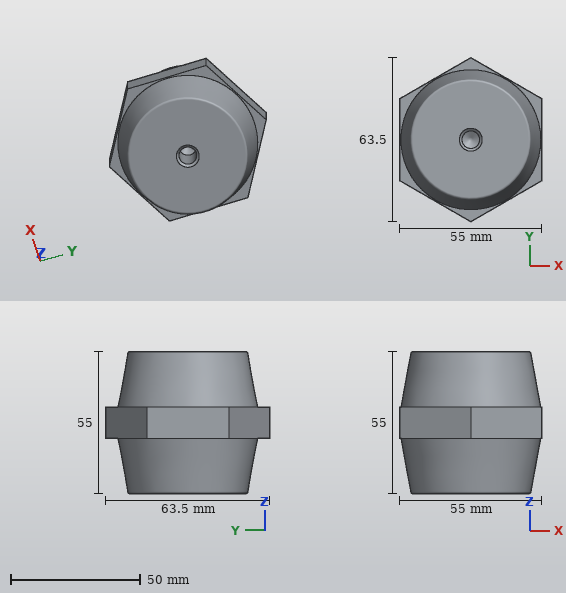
import cadquery as cq
import math

hex_corner_diameter = 63.5
hex_thickness = 12.1

total_height = 55.0
base_diameter = 54.1
end_diameter = 46.25
end_rounding = 0.9

hole_diameter = 6.8
countersink_diameter = 8.8
hole_depth = 15.9
drill_point_angle = 118.0

half_height = total_height / 2
base_radius = base_diameter / 2
end_radius = end_diameter / 2


def hex_flange():
    return (
        cq.Workplane("XY")
        .polygon(6, hex_corner_diameter)
        .extrude(hex_thickness / 2, both=True)
        .rotate((0, 0, 0), (0, 0, 1), 90)
    )


def double_taper():
    """Round body, widest at the flange faces and narrowing to both ends."""
    half_flange = hex_thickness / 2
    return (
        cq.Workplane("XZ")
        .moveTo(0, -half_height)
        .lineTo(end_radius, -half_height)
        .lineTo(base_radius, -half_flange)
        .lineTo(base_radius, half_flange)
        .lineTo(end_radius, half_height)
        .lineTo(0, half_height)
        .close()
        .revolve(360, (0, 0, 0), (0, 1, 0))
        .faces("<Z or >Z")
        .edges()
        .fillet(end_rounding)
    )


def top_hole():
    """Countersunk blind hole with a conical drill point."""
    hole_radius = hole_diameter / 2
    countersink_radius = countersink_diameter / 2
    countersink_depth = countersink_radius - hole_radius
    point_depth = hole_radius / math.tan(math.radians(drill_point_angle / 2))
    shoulder_z = half_height - hole_depth
    return (
        cq.Workplane("XZ")
        .moveTo(0, half_height)
        .lineTo(countersink_radius, half_height)
        .lineTo(hole_radius, half_height - countersink_depth)
        .lineTo(hole_radius, shoulder_z)
        .lineTo(0, shoulder_z - point_depth)
        .close()
        .revolve(360, (0, 0, 0), (0, 1, 0))
    )


hole = top_hole()
result = double_taper().union(hex_flange()).cut(hole).cut(hole.mirror("XY"))